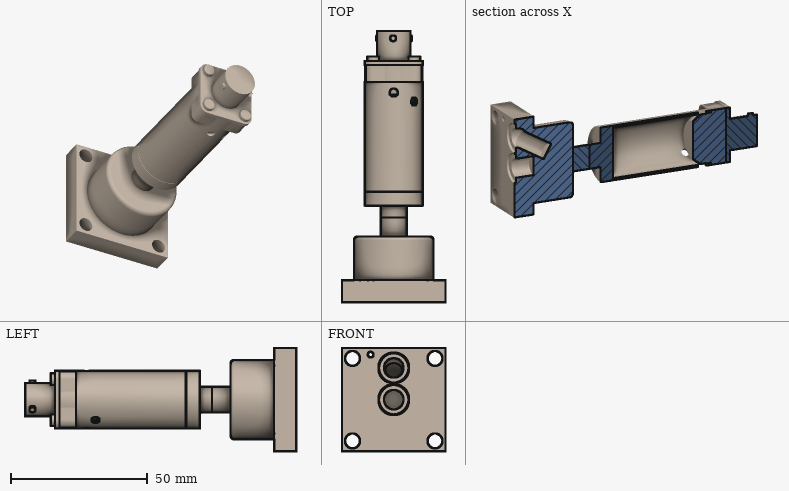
import cadquery as cq
import math


MAIN_AXIS = cq.Vector(0, 1, 0)

PLATE_BACK = 8.1
HEAD_END = 24.1
NECK_START = 30.9
COLLAR_START = 35.2
BARREL_START = 40.4
BARREL_END = 80.4
BLOCK_END = 86.6
FLANGE_END = 88.2
SCREW_TOP = 89.7
SHELL_END = 99.1

PLATE_SIDE = 37.8
HEAD_RADIUS = 14.6
HEAD_FILLET = 1.5
BOLT_SPACING = 30.1
BOLT_HOLE_RADIUS = 2.7
VENT_RADIUS = 1.0
VENT_X = -8.4
VENT_Z = 16.4

SIDE_PORT_Z = 11.6
PORT_RADIUS = 3.6
CENTRE_PORT_DEPTH = 7.9
SIDE_PORT_DEPTH = 1.5
SEAL_RADIUS = 5.6
SEAL_DEPTH = 0.8
SEAL_TAPER = 0.3
PASSAGE_RADIUS = 3.1
PASSAGE_LENGTH = 13.9
PASSAGE_ANGLE = 30.0

STEM_RADIUS = 4.8
NECK_FILLET = 0.3

BARREL_RADIUS = 10.6
BARREL_WALL = 1.0
BARREL_BORE_RADIUS = BARREL_RADIUS - BARREL_WALL
COLLAR_CHAMFER = 0.2
CROSS_HOLE_RADIUS = 1.5
UPRIGHT_HOLE_Y = 76.6
UPRIGHT_HOLE_ANGLE = 90.0
SLANTED_HOLE_Y = 73.3
SLANTED_HOLE_ANGLE = 45.0

FLANGE_SIDE = 2 * BARREL_RADIUS
FLANGE_CORNER_RADIUS = 3.1
BLOCK_RELIEF = 0.4
BLOCK_SIDE = FLANGE_SIDE - 2 * BLOCK_RELIEF
BLOCK_CORNER_RADIUS = FLANGE_CORNER_RADIUS - BLOCK_RELIEF
SPIGOT_END = 72.8
SPIGOT_CHAMFER_LENGTH = 3.1
SPIGOT_CHAMFER_DEPTH = 2.4
SCREW_SPACING = FLANGE_SIDE - 2 * FLANGE_CORNER_RADIUS
SCREW_RADIUS = 2.2
SCREW_FILLET = 0.4

SHELL_RADIUS = 6.1
LUG_RADIUS = 1.1
LUG_TIP = 7.0
LUG_Y = 96.4
LUG_COUNT = 3
FIRST_LUG_ANGLE = 92.0


def rod(radius, start, end, x=0.0, z=0.0):
    """Cylinder parallel to the main axis, between two stations."""
    return cq.Workplane(cq.Solid.makeCylinder(radius, end - start, cq.Vector(x, start, z), MAIN_AXIS))


def square_bar(side, start, end):
    """Square bar centred on the main axis, between two stations."""
    return cq.Workplane("XZ", origin=(0, start, 0)).rect(side, side).extrude(start - end)


def square_pattern(spacing):
    """The X and Z of the four corners of a square about the main axis."""
    half = spacing / 2
    return [(x, z) for x in (-half, half) for z in (-half, half)]


def radial_direction(angle):
    """Unit vector across the main axis, at an angle from +X towards +Z."""
    radians = math.radians(angle)
    return cq.Vector(math.cos(radians), 0, math.sin(radians))


def seal_recess(z):
    """Shallow recess around a port, narrowing slightly towards its floor."""
    mouth = cq.Vector(0, 0, z)
    floor_radius = SEAL_RADIUS - SEAL_TAPER
    return cq.Workplane(cq.Solid.makeCone(SEAL_RADIUS, floor_radius, SEAL_DEPTH, mouth, MAIN_AXIS))


def side_port():
    """Round-ended bore that turns down towards the main axis."""
    turn = cq.Vector(0, SIDE_PORT_DEPTH, SIDE_PORT_Z)
    slope = math.radians(PASSAGE_ANGLE)
    passage_axis = cq.Vector(0, math.cos(slope), -math.sin(slope))
    bore = rod(PORT_RADIUS, 0, SIDE_PORT_DEPTH, z=SIDE_PORT_Z)
    round_end = cq.Workplane("XY").sphere(PORT_RADIUS).translate(turn)
    passage = cq.Solid.makeCylinder(PASSAGE_RADIUS, PASSAGE_LENGTH, turn, passage_axis)
    return bore.union(round_end).union(cq.Workplane(passage))


def make_base():
    plate = square_bar(PLATE_SIDE, 0, PLATE_BACK)
    head = rod(HEAD_RADIUS, PLATE_BACK, HEAD_END).faces(">Y").edges().fillet(HEAD_FILLET)
    base = plate.union(head)
    for x, z in square_pattern(BOLT_SPACING):
        base = base.cut(rod(BOLT_HOLE_RADIUS, 0, PLATE_BACK, x, z))
    base = base.cut(rod(VENT_RADIUS, 0, PLATE_BACK, VENT_X, VENT_Z))
    base = base.cut(rod(PORT_RADIUS, 0, CENTRE_PORT_DEPTH))
    base = base.cut(side_port())
    for z in (0, SIDE_PORT_Z):
        base = base.cut(seal_recess(z))
    return base


def make_stem():
    return rod(STEM_RADIUS, HEAD_END, NECK_START)


def make_collar():
    """Chamfered disc that closes the barrel, with a neck that blends into it."""
    disc = rod(BARREL_RADIUS, COLLAR_START, BARREL_START).edges().chamfer(COLLAR_CHAMFER)
    collar = disc.union(rod(STEM_RADIUS, NECK_START, COLLAR_START))
    reach = STEM_RADIUS + NECK_FILLET
    root = cq.selectors.BoxSelector(
        (-reach, COLLAR_START - NECK_FILLET, -reach),
        (reach, COLLAR_START + NECK_FILLET, reach),
        boundingbox=True,
    )
    return collar.edges(root).fillet(NECK_FILLET)


def cross_hole(y, angle):
    """Drill that passes through both walls of the barrel."""
    direction = radial_direction(angle)
    start = cq.Vector(0, y, 0) - direction * BARREL_RADIUS
    return cq.Workplane(cq.Solid.makeCylinder(CROSS_HOLE_RADIUS, 2 * BARREL_RADIUS, start, direction))


def make_barrel():
    barrel = rod(BARREL_RADIUS, BARREL_START, BARREL_END)
    barrel = barrel.cut(rod(BARREL_BORE_RADIUS, BARREL_START, BARREL_END))
    barrel = barrel.cut(cross_hole(UPRIGHT_HOLE_Y, UPRIGHT_HOLE_ANGLE))
    return barrel.cut(cross_hole(SLANTED_HOLE_Y, SLANTED_HOLE_ANGLE))


def make_block():
    """Square block swollen to the barrel's radius, with a chamfered spigot in the barrel."""
    square = square_bar(BLOCK_SIDE, BARREL_END, BLOCK_END).edges("|Y").fillet(BLOCK_CORNER_RADIUS)
    swell = rod(BARREL_RADIUS, BARREL_END, BLOCK_END)
    spigot = rod(BARREL_BORE_RADIUS, SPIGOT_END + SPIGOT_CHAMFER_LENGTH, BARREL_END)
    tip_radius = BARREL_BORE_RADIUS - SPIGOT_CHAMFER_DEPTH
    tip_start = cq.Vector(0, SPIGOT_END, 0)
    tip = cq.Solid.makeCone(tip_radius, BARREL_BORE_RADIUS, SPIGOT_CHAMFER_LENGTH, tip_start, MAIN_AXIS)
    spigot = spigot.union(cq.Workplane(tip))
    return square.union(swell).union(spigot)


def make_connector():
    """Square flange carrying a bayonet shell with evenly spaced lugs."""
    flange = square_bar(FLANGE_SIDE, BLOCK_END, FLANGE_END).edges("|Y").fillet(FLANGE_CORNER_RADIUS)
    connector = flange.union(rod(SHELL_RADIUS, FLANGE_END, SHELL_END))
    for i in range(LUG_COUNT):
        direction = radial_direction(FIRST_LUG_ANGLE + i * 360 / LUG_COUNT)
        lug = cq.Solid.makeCylinder(LUG_RADIUS, LUG_TIP, cq.Vector(0, LUG_Y, 0), direction)
        connector = connector.union(cq.Workplane(lug))
    return connector


def make_screw(x, z):
    return rod(SCREW_RADIUS, FLANGE_END, SCREW_TOP, x, z).faces(">Y").edges().fillet(SCREW_FILLET)


base = make_base()
stem = make_stem()
collar = make_collar()
barrel = make_barrel()
block = make_block()
connector = make_connector()
screws = [make_screw(x, z) for x, z in square_pattern(SCREW_SPACING)]

bodies = [base, stem, collar, barrel, block, connector, *screws]
result = cq.Compound.makeCompound([body.val() for body in bodies])